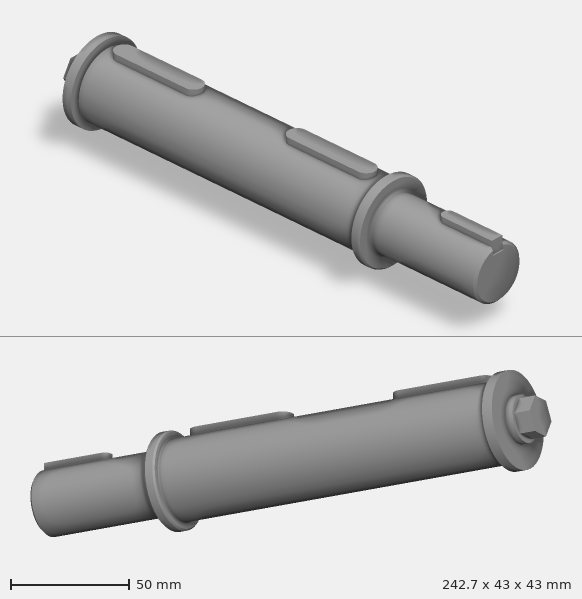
import cadquery as cq
import math

TOTAL_LENGTH = 242.7

HEAD_HEIGHT = 7.5
HEAD_CORNER_DIAMETER = 18.2
BOLT_DIAMETER = 12.0
THREAD_DEPTH = 19.5

WASHER_DIAMETER = 20.9
WASHER_THICKNESS = 3.6
NOTCH_WIDTH = 2.2
NOTCH_DEPTH = 2.0

COLLAR_DIAMETER = 43.0
PLATE_THICKNESS = 4.9

BODY_DIAMETER = 36.0
BODY_LENGTH = 161.2
COLLAR_WIDTH = 5.0
COLLAR_CHAMFER = 0.7
BODY_ROOT_FILLET = 0.7
END_ROOT_FILLET = 1.5
END_DIAMETER = 28.6
END_CHAMFER = 1.2

BODY_KEY_LENGTH = 49.5
BODY_KEY_WIDTH = 9.7
BODY_KEY_HEIGHT = 8.0
BODY_KEY_TOP = 20.9
BODY_KEY_MARGIN = 6.0
BODY_KEY_SPACING = 99.8
END_KEY_LENGTH = 31.3
END_KEY_WIDTH = 6.5
END_KEY_HEIGHT = 7.0
END_KEY_TOP = 17.2
END_KEY_SETBACK = 0.7

WASHER_START = HEAD_HEIGHT
PLATE_START = WASHER_START + WASHER_THICKNESS
SHAFT_START = PLATE_START + PLATE_THICKNESS
COLLAR_START = SHAFT_START + BODY_LENGTH
COLLAR_END = COLLAR_START + COLLAR_WIDTH
BODY_KEY_START = SHAFT_START + BODY_KEY_MARGIN
BODY_KEY_STARTS = [BODY_KEY_START, BODY_KEY_START + BODY_KEY_SPACING]
END_KEY_END = TOTAL_LENGTH - END_KEY_SETBACK
END_KEY_START = END_KEY_END - END_KEY_LENGTH
BOLT_TIP = SHAFT_START + THREAD_DEPTH


def cylinder(start, end, diameter):
    """Cylinder along X between two stations."""
    return cq.Workplane("YZ", origin=(start, 0, 0)).circle(diameter / 2).extrude(end - start)


def shank():
    """Bolt shank, also the shape of the holes that it fills."""
    return cylinder(WASHER_START, BOLT_TIP, BOLT_DIAMETER)


def make_bolt():
    head = (
        cq.Workplane("YZ")
        .polygon(6, HEAD_CORNER_DIAMETER)
        .extrude(HEAD_HEIGHT)
    )
    return head.union(shank())


def make_lock_washer():
    ring = cylinder(WASHER_START, PLATE_START, WASHER_DIAMETER).cut(shank())
    rim_radius = WASHER_DIAMETER / 2
    notch = (
        cq.Workplane("YZ", origin=(WASHER_START, 0, 0))
        .moveTo(0, rim_radius - NOTCH_DEPTH)
        .lineTo(NOTCH_WIDTH, rim_radius + NOTCH_DEPTH)
        .lineTo(-NOTCH_WIDTH, rim_radius + NOTCH_DEPTH)
        .close()
        .extrude(WASHER_THICKNESS)
    )
    return ring.cut(notch)


def make_end_plate():
    return cylinder(PLATE_START, SHAFT_START, COLLAR_DIAMETER).cut(shank())


def make_body_key(start):
    """Key with both ends fully rounded."""
    middle = start + BODY_KEY_LENGTH / 2
    return (
        cq.Workplane("XY", origin=(middle, 0, BODY_KEY_TOP - BODY_KEY_HEIGHT))
        .slot2D(BODY_KEY_LENGTH, BODY_KEY_WIDTH)
        .extrude(BODY_KEY_HEIGHT)
    )


def end_key_prism(end):
    """Prism with a round inner end and a square outer end."""
    half_width = END_KEY_WIDTH / 2
    arc_end = END_KEY_START + half_width
    return (
        cq.Workplane("XY", origin=(0, 0, END_KEY_TOP - END_KEY_HEIGHT))
        .moveTo(end, -half_width)
        .lineTo(end, half_width)
        .lineTo(arc_end, half_width)
        .threePointArc((END_KEY_START, 0), (arc_end, -half_width))
        .close()
        .extrude(END_KEY_HEIGHT)
    )


def make_end_key():
    return end_key_prism(END_KEY_END)


def make_shaft():
    """Turned profile with keyways and a hole for the bolt."""
    body_radius = BODY_DIAMETER / 2
    collar_radius = COLLAR_DIAMETER / 2
    end_radius = END_DIAMETER / 2
    corner_ratio = 1 - math.sqrt(0.5)
    body_inset = BODY_ROOT_FILLET * corner_ratio
    end_inset = END_ROOT_FILLET * corner_ratio
    profile = (
        cq.Workplane("XZ")
        .moveTo(SHAFT_START, 0)
        .lineTo(SHAFT_START, body_radius - END_CHAMFER)
        .lineTo(SHAFT_START + END_CHAMFER, body_radius)
        .lineTo(COLLAR_START - BODY_ROOT_FILLET, body_radius)
        .threePointArc(
            (COLLAR_START - body_inset, body_radius + body_inset),
            (COLLAR_START, body_radius + BODY_ROOT_FILLET),
        )
        .lineTo(COLLAR_START, collar_radius - COLLAR_CHAMFER)
        .lineTo(COLLAR_START + COLLAR_CHAMFER, collar_radius)
        .lineTo(COLLAR_END - COLLAR_CHAMFER, collar_radius)
        .lineTo(COLLAR_END, collar_radius - COLLAR_CHAMFER)
        .lineTo(COLLAR_END, end_radius + END_ROOT_FILLET)
        .threePointArc(
            (COLLAR_END + end_inset, end_radius + end_inset),
            (COLLAR_END + END_ROOT_FILLET, end_radius),
        )
        .lineTo(TOTAL_LENGTH - END_CHAMFER, end_radius)
        .lineTo(TOTAL_LENGTH, end_radius - END_CHAMFER)
        .lineTo(TOTAL_LENGTH, 0)
        .close()
    )
    shaft = profile.revolve(360, (0, 0, 0), (1, 0, 0)).cut(shank())
    for start in BODY_KEY_STARTS:
        shaft = shaft.cut(make_body_key(start))
    return shaft.cut(end_key_prism(TOTAL_LENGTH))


bolt = make_bolt()
lock_washer = make_lock_washer()
end_plate = make_end_plate()
shaft = make_shaft()
body_keys = [make_body_key(start) for start in BODY_KEY_STARTS]
end_key = make_end_key()

result = cq.Compound.makeCompound([
    bolt.val(),
    lock_washer.val(),
    end_plate.val(),
    shaft.val(),
    *[key.val() for key in body_keys],
    end_key.val(),
])